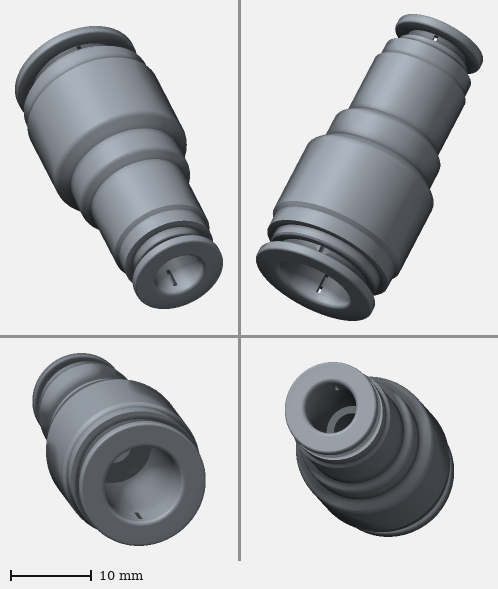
import cadquery as cq
import math


length = 37.0
body_diameter = 17.5
body_radius = body_diameter / 2
shoulder_radius = 7.3
barrel_radius = 6.3
body_start = 6.7
body_end = 16.1
shoulder_end = 21.15
barrel_end = 30.8
body_round = 1.1
shoulder_round = 0.92

large_ring_start = 4.15
large_ring_end = 6.15
large_ring_tip_radius = 8.3
large_ring_root_radius = 8.32
small_ring_start = 31.25
small_ring_end = 33.25
small_ring_root_radius = 5.9
small_ring_tip_radius = 5.85

large_collar_start = 2.8
large_collar_radius = 7.3
large_collar_chamfer = 0.22
small_collar_end = 34.65
small_collar_radius = 4.77
small_collar_chamfer = 0.15

flange_width = 1.3
flange_round = 0.3
large_flange_radius = 8.0
large_neck_radius = 6.05
small_flange_radius = 5.85
small_neck_radius = 4.0
slot_width = 0.5
slot_length = 2.8
slot_gap = 0.07

large_socket_radius = 4.85
large_socket_depth = 16.65
small_socket_radius = 3.2
small_socket_depth = 12.95
mouth_round = 0.5
passage_radius = 2.25


def cylinder(start, end, radius):
    """Cylinder about the X axis between two X positions."""
    return cq.Workplane("YZ", origin=(start, 0, 0)).circle(radius).extrude(end - start)


def round_into_cone(profile, start, radius, round_radius, end_radius):
    """Continue a profile with a tangent arc into a 45 degree cone, down to end_radius."""

    def on_arc(degrees):
        angle = math.radians(degrees)
        x = start + round_radius * math.sin(angle)
        r = radius - round_radius * (1 - math.cos(angle))
        return x, r

    cone_start, cone_radius = on_arc(45)
    cone_end = cone_start + cone_radius - end_radius
    return profile.threePointArc(on_arc(22.5), (cone_start, cone_radius)).lineTo(cone_end, end_radius)


def make_body():
    """Stepped body with its two end rings, revolved from a half profile."""
    profile = (
        cq.Workplane("XY")
        .moveTo(large_ring_start, 0)
        .lineTo(large_ring_start, large_ring_tip_radius)
        .lineTo(large_ring_end, large_ring_root_radius)
        .lineTo(body_start, body_radius)
        .lineTo(body_end, body_radius)
    )
    profile = round_into_cone(profile, body_end, body_radius, body_round, shoulder_radius)
    profile = profile.lineTo(shoulder_end, shoulder_radius)
    profile = round_into_cone(profile, shoulder_end, shoulder_radius, shoulder_round, barrel_radius)
    profile = (
        profile
        .lineTo(barrel_end, barrel_radius)
        .lineTo(small_ring_start, small_ring_root_radius)
        .lineTo(small_ring_end, small_ring_tip_radius)
        .lineTo(small_ring_end, 0)
        .close()
    )
    return profile.revolve(360, (0, 0, 0), (1, 0, 0))


def make_flange(start, radius):
    """Sleeve flange with both rim edges rounded."""
    return cylinder(start, start + flange_width, radius).edges().fillet(flange_round)


def make_socket(depth, radius):
    """Cutter for a socket entered from X = 0, with a rounded mouth."""
    mouth_radius = radius + mouth_round
    mid_arc = mouth_round * (1 - math.sin(math.radians(45)))
    return (
        cq.Workplane("XY")
        .lineTo(0, mouth_radius)
        .threePointArc((mid_arc, radius + mid_arc), (mouth_round, radius))
        .lineTo(depth, radius)
        .lineTo(depth, 0)
        .close()
        .revolve(360, (0, 0, 0), (1, 0, 0))
    )


def make_slot(start, neck_radius):
    """Cutter for a narrow slot through both walls of a sleeve, along Z, from start towards +X."""
    return (
        cq.Workplane("XY")
        .box(slot_length, slot_width, 2 * neck_radius)
        .translate((start + slot_length / 2, 0, 0))
    )


small_flange_start = length - flange_width

large_collar = (
    cylinder(large_collar_start, large_ring_start, large_collar_radius)
    .faces("<X").chamfer(large_collar_chamfer)
)
small_collar = (
    cylinder(small_ring_end, small_collar_end, small_collar_radius)
    .faces(">X").chamfer(small_collar_chamfer)
)

result = (
    make_body()
    .union(large_collar)
    .union(small_collar)
    .union(cylinder(flange_width, large_collar_start, large_neck_radius))
    .union(cylinder(small_collar_end, small_flange_start, small_neck_radius))
    .union(make_flange(0, large_flange_radius))
    .union(make_flange(small_flange_start, small_flange_radius))
)

small_socket = (
    make_socket(small_socket_depth, small_socket_radius)
    .mirror("YZ")
    .translate((length, 0, 0))
)
result = (
    result
    .cut(make_socket(large_socket_depth, large_socket_radius))
    .cut(small_socket)
    .cut(cylinder(0, length, passage_radius))
)

large_slot_start = flange_width + slot_gap
small_slot_start = small_flange_start - slot_gap - slot_length
result = (
    result
    .cut(make_slot(large_slot_start, large_neck_radius))
    .cut(make_slot(small_slot_start, small_neck_radius))
)